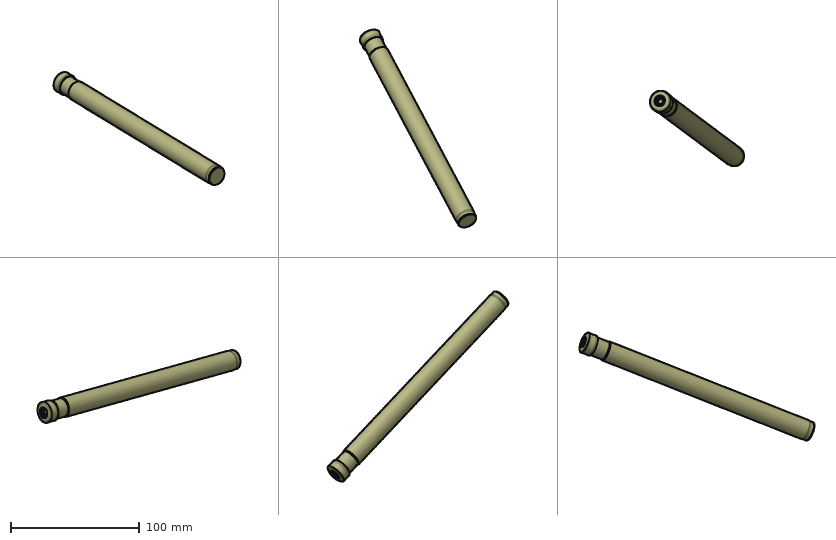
import cadquery as cq
import math

total_length = 200.0
main_radius = 16.0 / 2
neck_radius = 15.0 / 2
tail_radius = 15.5 / 2

neck_start = 8.9
neck_end = 19.2
main_start = 20.0
main_end = 195.0
tail_start = 196.2
end_chamfer_length = 0.8
end_chamfer_depth = 0.4

rim_radius = 17.0 / 2
waist_radius = 16.6 / 2
crest_radius = 5.3
dome_radius = 5.0
shoulder_radius = 7.4
front_rim_start = 1.3
front_rim_end = 2.0
rear_rim_start = 6.8
rear_rim_peak = 7.6
rear_rim_start_radius = 16.8 / 2
rear_edge_radius = 16.2 / 2

mouth_radius = 4.4
mouth_depth = 0.8
step_radii = [3.6, 2.8, 2.0]
step_depth = 0.6


def dome_x(radius):
    """Set-back of the domed face from its crest at a given radius."""
    offset = radius - crest_radius
    return dome_radius - math.sqrt(dome_radius**2 - offset**2)


def make_barrel():
    """Solid of revolution: neck, main length and reduced tail."""
    profile = (
        cq.Workplane("XY")
        .moveTo(neck_start, 0)
        .lineTo(neck_start, neck_radius)
        .lineTo(neck_end, neck_radius)
        .lineTo(main_start, main_radius)
        .lineTo(main_end, main_radius)
        .lineTo(tail_start, tail_radius)
        .lineTo(total_length - end_chamfer_length, tail_radius)
        .lineTo(total_length, tail_radius - end_chamfer_depth)
        .lineTo(total_length, 0)
        .close()
    )
    return profile.revolve(360, (0, 0, 0), (1, 0, 0))


def make_cap():
    """Solid of revolution with a domed face, two rims and a stepped recess."""
    waist_middle = ((front_rim_end + rear_rim_start) / 2, waist_radius)
    profile = (
        cq.Workplane("XY")
        .moveTo(dome_x(mouth_radius), 0)
        .lineTo(dome_x(mouth_radius), mouth_radius)
        .threePointArc((0, crest_radius), (dome_x(shoulder_radius), shoulder_radius))
        .lineTo(front_rim_start, rim_radius)
        .lineTo(front_rim_end, rim_radius)
        .threePointArc(waist_middle, (rear_rim_start, rear_rim_start_radius))
        .threePointArc((rear_rim_peak, rim_radius), (neck_start, rear_edge_radius))
        .lineTo(neck_start, 0)
        .close()
    )
    return profile.revolve(360, (0, 0, 0), (1, 0, 0)).cut(make_recess())


def make_recess():
    """Material removed from the cap face: a cone followed by steps."""
    mouth_x = dome_x(mouth_radius)
    outline = cq.Workplane("XY").moveTo(mouth_x, 0).lineTo(mouth_x, mouth_radius)
    depth = mouth_depth
    for radius in step_radii:
        outline = outline.lineTo(depth, radius)
        depth += step_depth
        outline = outline.lineTo(depth, radius)
    return outline.lineTo(depth, 0).close().revolve(360, (0, 0, 0), (1, 0, 0))


barrel = make_barrel()
cap = make_cap()

result = cq.Compound.makeCompound([barrel.val(), cap.val()])